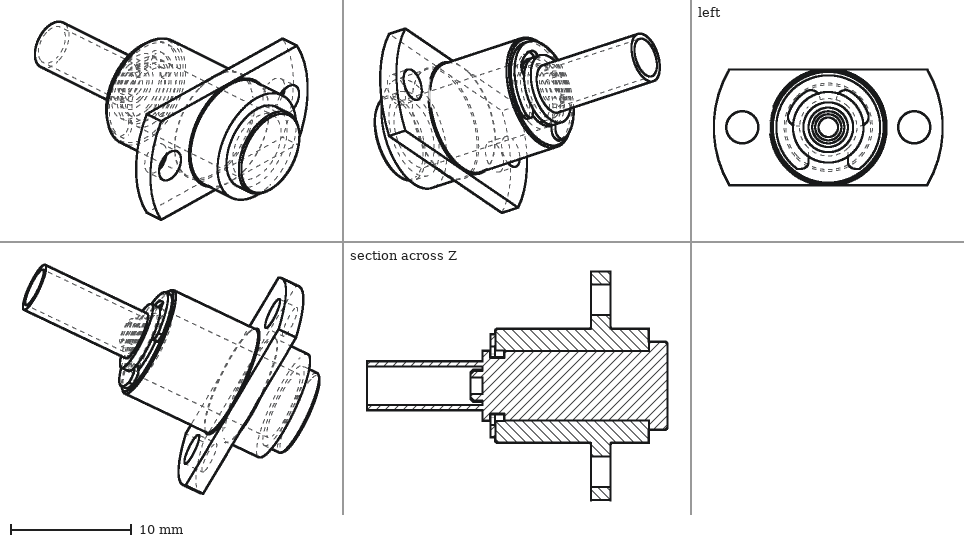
import cadquery as cq
import math

COLLAR_FRONT = 9.55
CLIP_FRONT = 10.21
CLIP_THICKNESS = 0.37
SLEEVE_FRONT = CLIP_FRONT + CLIP_THICKNESS
FLANGE_FRONT = 18.51
FLANGE_THICKNESS = 1.65
FLANGE_BACK = FLANGE_FRONT + FLANGE_THICKNESS
SLEEVE_BACK = 23.3
NOSE_END = 24.85

TUBE_DIAMETER = 4.13
TUBE_BORE_DIAMETER = 3.25
SHAFT_DIAMETER = 5.85
GROOVE_DIAMETER = 4.75
GROOVE_LENGTH = 1.12
NOSE_DIAMETER = 7.3
EDGE_CHAMFER = 0.15
SPIGOT_DIAMETER = 2.65
SPIGOT_LENGTH = 1.0
SPIGOT_CHAMFER = 0.25
CUP_DIAMETER = 1.62
CUP_DEPTH = 1.0

SLEEVE_DIAMETER = 9.47
ROOT_FILLET = 0.1
FLANGE_DIAMETER = 18.95
FLANGE_HEIGHT = 9.6
MOUNT_HOLE_DIAMETER = 2.63
MOUNT_HOLE_OFFSET = 7.1

CLIP_DIAMETER = 8.6
CLIP_OPENING = 3.23
CLIP_LEG_BOTTOM = 3.43
CLIP_LEG_FILLET = 0.6
CLIP_SLOT_DIAMETER = 6.95
CLIP_SLOT_FILLET = 0.75
CLIP_SLOT_ANGLE = 38.4
CLIP_SLOT_SPAN = 71.6


def disc(diameter, start, end):
    """Cylinder on the X axis between two X positions."""
    return cq.Workplane("YZ", origin=(start, 0, 0)).circle(diameter / 2).extrude(end - start)


def block(width, bottom, top, start, end):
    """Box centred on Y = 0, between two Z heights and two X positions."""
    profile = cq.Workplane("YZ", origin=(start, 0, (bottom + top) / 2)).rect(width, top - bottom)
    return profile.extrude(end - start)


def make_connector():
    """Stepped shaft with a cable tube in front, a groove for the clip and a nose at the back."""
    tube = disc(TUBE_DIAMETER, 0, COLLAR_FRONT)
    collar = disc(SHAFT_DIAMETER, COLLAR_FRONT, CLIP_FRONT)
    groove_end = CLIP_FRONT + GROOVE_LENGTH
    groove = disc(GROOVE_DIAMETER, CLIP_FRONT, groove_end)
    shaft = disc(SHAFT_DIAMETER, groove_end, SLEEVE_BACK)
    nose = disc(NOSE_DIAMETER, SLEEVE_BACK, NOSE_END).faces(">X").edges().chamfer(EDGE_CHAMFER)
    body = tube.union(collar).union(groove).union(shaft).union(nose)

    bore = disc(TUBE_BORE_DIAMETER, 0, COLLAR_FRONT)
    spigot_front = COLLAR_FRONT - SPIGOT_LENGTH
    spigot = disc(SPIGOT_DIAMETER, spigot_front, COLLAR_FRONT)
    spigot = spigot.faces("<X").edges().chamfer(SPIGOT_CHAMFER)
    cup = disc(CUP_DIAMETER, spigot_front, spigot_front + CUP_DEPTH)
    return body.cut(bore).union(spigot).cut(cup)


def root_fillet(flange_face, direction):
    """Ring with a concave quarter-round face that blends the sleeve into one flange face."""
    radius = SLEEVE_DIAMETER / 2
    center_x = flange_face + direction * ROOT_FILLET
    center_r = radius + ROOT_FILLET
    reach = ROOT_FILLET * math.sqrt(0.5)
    return (
        cq.Workplane("XY")
        .moveTo(flange_face, radius - ROOT_FILLET)
        .lineTo(flange_face, center_r)
        .threePointArc((center_x - direction * reach, center_r - reach), (center_x, radius))
        .lineTo(center_x, radius - ROOT_FILLET)
        .close()
        .revolve(360, (0, 0, 0), (1, 0, 0))
    )


def make_housing():
    """Round sleeve with a two-hole flange, bored through for the connector shaft."""
    sleeve = disc(SLEEVE_DIAMETER, SLEEVE_FRONT, SLEEVE_BACK)
    sleeve = sleeve.faces("<X").edges().chamfer(EDGE_CHAMFER)
    sleeve = sleeve.union(root_fillet(FLANGE_FRONT, -1)).union(root_fillet(FLANGE_BACK, 1))
    flange = disc(FLANGE_DIAMETER, FLANGE_FRONT, FLANGE_BACK)
    holes = (
        cq.Workplane("YZ", origin=(FLANGE_FRONT, 0, 0))
        .pushPoints([(-MOUNT_HOLE_OFFSET, 0), (MOUNT_HOLE_OFFSET, 0)])
        .circle(MOUNT_HOLE_DIAMETER / 2)
        .extrude(FLANGE_THICKNESS)
    )
    half_height = FLANGE_HEIGHT / 2
    envelope = block(FLANGE_DIAMETER, -half_height, half_height, SLEEVE_FRONT, SLEEVE_BACK)
    shaft_bore = disc(SHAFT_DIAMETER, SLEEVE_FRONT, SLEEVE_BACK)
    return flange.cut(holes).union(sleeve).intersect(envelope).cut(shaft_bore)


def clip_slot(middle_angle):
    """Relief slot around one angle, between the groove and the outer band of the clip.

    The slot starts one fillet radius inside the groove, so only its outer corners stay round.
    """
    inner_radius = GROOVE_DIAMETER / 2 - CLIP_SLOT_FILLET
    outer_radius = CLIP_SLOT_DIAMETER / 2

    def point(radius, side):
        angle = math.radians(middle_angle + side * CLIP_SLOT_SPAN / 2)
        return radius * math.cos(angle), radius * math.sin(angle)

    slot = (
        cq.Workplane("YZ", origin=(CLIP_FRONT, 0, 0))
        .moveTo(*point(inner_radius, -1))
        .lineTo(*point(outer_radius, -1))
        .threePointArc(point(outer_radius, 0), point(outer_radius, 1))
        .lineTo(*point(inner_radius, 1))
        .threePointArc(point(inner_radius, 0), point(inner_radius, -1))
        .close()
        .extrude(CLIP_THICKNESS)
    )
    return slot.edges("|X").fillet(CLIP_SLOT_FILLET)


def make_clip():
    """Flat E-shaped ring seated in the connector groove, against the front of the sleeve."""
    radius = CLIP_DIAMETER / 2
    clip = disc(CLIP_DIAMETER, CLIP_FRONT, SLEEVE_FRONT)
    clip = clip.cut(block(CLIP_DIAMETER, -radius, -CLIP_LEG_BOTTOM, CLIP_FRONT, SLEEVE_FRONT))
    clip = clip.cut(block(CLIP_OPENING, -radius, 0, CLIP_FRONT, SLEEVE_FRONT))

    middle_x = (CLIP_FRONT + SLEEVE_FRONT) / 2
    for y in (-CLIP_OPENING / 2, CLIP_OPENING / 2):
        corner = cq.selectors.NearestToPointSelector((middle_x, y, -CLIP_LEG_BOTTOM))
        clip = clip.edges(corner).fillet(CLIP_LEG_FILLET)

    clip = clip.cut(disc(GROOVE_DIAMETER, CLIP_FRONT, SLEEVE_FRONT))
    for angle in (CLIP_SLOT_ANGLE, 180 - CLIP_SLOT_ANGLE):
        clip = clip.cut(clip_slot(angle))
    return clip


connector = make_connector()
housing = make_housing()
clip = make_clip()
result = cq.Compound.makeCompound([connector.val(), housing.val(), clip.val()])